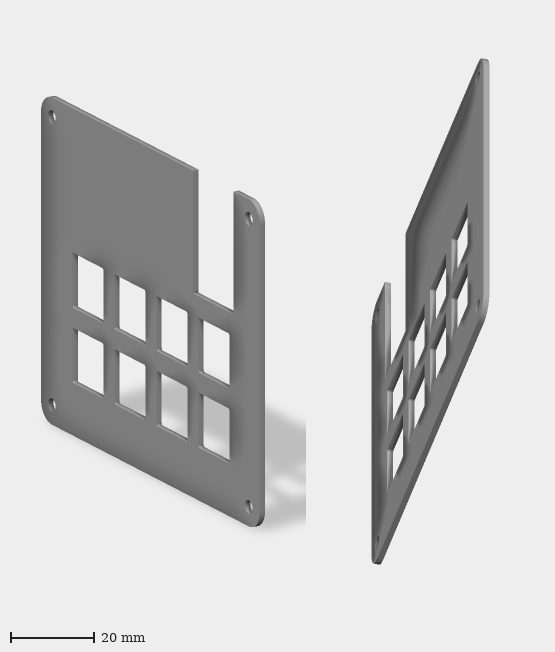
import cadquery as cq

width = 99.0
height = 83.0
thickness = 1.5
corner_radius = 4.95

hole_diameter = 3.4

notch_left = 68.8
notch_width = 18.4
notch_depth = 31.2

columns = 4
rows = 2
key_size = 14.0
key_pitch = 19.0
key_corner_radius = 0.5
first_key_left = 14.3
first_key_bottom = 13.4


def block(left, bottom, size_x, size_z):
    """Plate-thick rectangular block placed by its lower left corner."""
    return cq.Workplane("XY").box(size_x, thickness, size_z, centered=False).translate((left, 0, bottom))


def mounting_holes():
    return (
        cq.Workplane("XZ")
        .center(width / 2, height / 2)
        .rect(width - 2 * corner_radius, height - 2 * corner_radius, forConstruction=True)
        .vertices()
        .circle(hole_diameter / 2)
        .extrude(-thickness)
    )


def key_opening(column, row):
    left = first_key_left + column * key_pitch
    bottom = first_key_bottom + row * key_pitch
    return block(left, bottom, key_size, key_size).edges("|Y").fillet(key_corner_radius)


plate = block(0, 0, width, height).edges("|Y").fillet(corner_radius)
plate = plate.cut(mounting_holes())
plate = plate.cut(block(notch_left, height - notch_depth, notch_width, notch_depth))
for column in range(columns):
    for row in range(rows):
        plate = plate.cut(key_opening(column, row))

result = plate